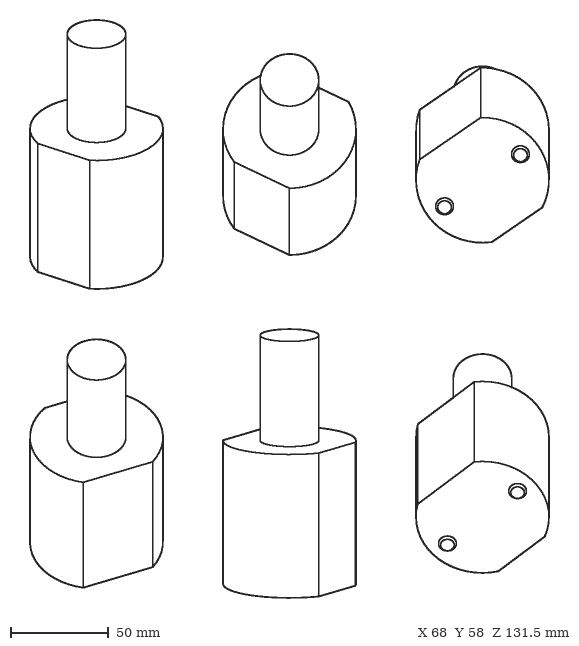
import cadquery as cq
import math

body_diameter = 68.0
body_height = 75.0
front_flat_distance = 30.0
back_flat_distance = 28.0

shank_diameter = 30.0
shank_height = 55.0

foot_height = 1.5
foot_ball_radius = 5.0
foot_tip_diameter = 7.0
foot_spacing = 48.0


def make_body():
    flat_width = front_flat_distance + back_flat_distance
    flat_middle_y = (back_flat_distance - front_flat_distance) / 2
    cylinder = cq.Workplane("XY").circle(body_diameter / 2).extrude(body_height)
    flats = (
        cq.Workplane("XY")
        .center(0, flat_middle_y)
        .rect(body_diameter, flat_width)
        .extrude(body_height)
    )
    return cylinder.intersect(flats)


def make_shank():
    return (
        cq.Workplane("XY", origin=(0, 0, body_height))
        .circle(shank_diameter / 2)
        .extrude(shank_height)
    )


def make_foot(x):
    tip_radius = foot_tip_diameter / 2
    tip_depth = math.sqrt(foot_ball_radius**2 - tip_radius**2)
    ball_center_z = tip_depth - foot_height
    ball = cq.Workplane("XY", origin=(x, 0, ball_center_z)).sphere(foot_ball_radius)
    slab = (
        cq.Workplane("XY", origin=(x, 0, -foot_height))
        .circle(foot_ball_radius)
        .extrude(foot_height)
    )
    return ball.intersect(slab)


result = make_body().union(make_shank())
for side in (-1, 1):
    result = result.union(make_foot(side * foot_spacing / 2))